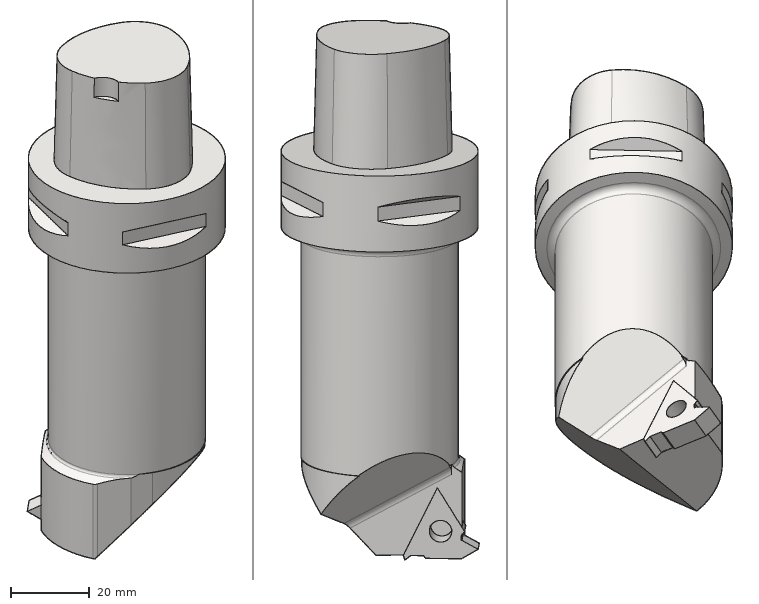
import cadquery as cq
import math


shank_height = 30.0
shank_mean_radius = 35.1 / 2
shank_taper = 0.025
lobe_height = 1.02
lobe_half_angle = 28
key_radius = 4.5
key_depth = 5.4
key_floor_y = -14.2

flange_radius = 50.0 / 2
flange_height = 20.0
slot_count = 4
slot_floor_distance = 22.1
slot_floor_width = 3.7
slot_wall_angle = 30
slot_z = -flange_height / 2

neck_radius = 40.0 / 2
neck_end_z = -80.3
underside_drop = 0.5
underside_fillet = 2.0

head_radius = 22.5
back_radius = 19.8
collar_fillet_drop = 0.8
collar_fillet_width = 0.4
collar_height = 2.3
seat_angle = 15
seat_corner = (-22.2, 0.8)
blend_start_x = -1.2
blend_end = (0, -22.2)
front_flat_end = (7.7, -18.9)
outer_flat_end_x = 12.3
end_z = -104.5
end_slope_x = -0.03
end_slope_y = -0.02
back_angle = 48
back_axis_z = -103.2
flute_angle = 51
flute_direction = 132
flute_axis_z = -99.3
flute_fillet = 2.7

insert_thickness = 6.1
insert_hole_diameter = 5.7
insert_hole_center = (5.4, -97.9)
overall_length = 135.6
overall_width = 51.3
tip_z = -102.5
insert_root_z = -104.5
land_z = -105.1

overlap = 1.4
block_size = 542.5

seat_cos = math.cos(math.radians(seat_angle))
seat_sin = math.sin(math.radians(seat_angle))
seat_plane = cq.Plane(
    origin=(*seat_corner, 0), xDir=(seat_cos, seat_sin, 0), normal=(seat_sin, -seat_cos, 0)
)

insert_outline = [
    (6.2, -86.5),
    (0.1, -96.6),
    (-0.7, -97.9),
    (0.3, -99.2),
    (0.3, -100.1),
    ((flange_radius - overall_width - seat_corner[0]) / seat_cos, tip_z),
    (0.1, land_z),
    (9.2, land_z),
    (9.8, insert_root_z),
    (13.0, insert_root_z),
    (14.5, shank_height - overall_length),
    (14.9, insert_root_z),
]


def half_space(origin, normal):
    """Large block on the side of a plane that the normal points to."""
    face = cq.Plane(origin=origin, normal=normal)
    return cq.Workplane(face).rect(block_size, block_size).extrude(block_size)


def circle_y(radius, x):
    """Y on the -Y half of a circle about the tool axis."""
    return -math.sqrt(radius**2 - x**2)


def lobed_section(z):
    """Closed outline of three lobe arcs and three flank arcs, one lobe toward +Y."""
    radius = shank_mean_radius - shank_taper * z

    def point(degrees):
        angle = math.radians(degrees)
        return (
            lobe_height * math.sin(2 * angle) - radius * math.sin(angle),
            radius * math.cos(angle) + lobe_height * math.cos(2 * angle),
        )

    outline = cq.Workplane("XY", origin=(0, 0, z)).moveTo(*point(-lobe_half_angle))
    for lobe in (0, 120, 240):
        outline = outline.threePointArc(point(lobe), point(lobe + lobe_half_angle))
        outline = outline.threePointArc(point(lobe + 60), point(lobe + 120 - lobe_half_angle))
    return outline.close().val()


def make_shank():
    """Lofted shank with a round key notch at its top edge."""
    shank = cq.Workplane(cq.Solid.makeLoft([lobed_section(0), lobed_section(shank_height)]))
    notch = (
        cq.Workplane("XY", origin=(0, key_floor_y - key_radius, shank_height - key_depth))
        .circle(key_radius)
        .extrude(key_depth)
    )
    return shank.cut(notch)


def make_flange_and_neck():
    """Turned profile from the flange's upper face to the end of the neck."""
    underside_z = -flange_height - underside_drop
    arc_mid = underside_fillet * (1 - math.sqrt(0.5))
    return (
        cq.Workplane("XZ")
        .lineTo(flange_radius, 0)
        .lineTo(flange_radius, -flange_height)
        .lineTo(neck_radius + underside_fillet, underside_z)
        .threePointArc(
            (neck_radius + arc_mid, underside_z - arc_mid),
            (neck_radius, underside_z - underside_fillet),
        )
        .lineTo(neck_radius, neck_end_z)
        .lineTo(0, neck_end_z)
        .close()
        .revolve(360, (0, 0, 0), (0, 1, 0))
    )


def make_gripper_slots():
    """Cutters for flat-floored slots with flared walls, spaced evenly around the flange."""
    slot_depth = flange_radius - slot_floor_distance + overlap
    half_floor = slot_floor_width / 2
    half_mouth = half_floor + slot_depth * math.tan(math.radians(slot_wall_angle))
    mouth_distance = slot_floor_distance + slot_depth
    slot = (
        cq.Workplane("XZ", origin=(0, 0, slot_z))
        .polyline([
            (slot_floor_distance, -half_floor),
            (mouth_distance, -half_mouth),
            (mouth_distance, half_mouth),
            (slot_floor_distance, half_floor),
        ])
        .close()
        .extrude(flange_radius, both=True)
    )
    pitch = 360 / slot_count
    slots = cq.Workplane("XY")
    for index in range(slot_count):
        slots = slots.add(slot.rotate((0, 0, 0), (0, 0, 1), pitch * (index + 0.5)))
    return slots.combine()


def make_head_envelope():
    """Turned shape of the head: a concave blend, a cone, then the full head radius."""
    return (
        cq.Workplane("XZ")
        .moveTo(0, neck_end_z + overlap)
        .lineTo(neck_radius, neck_end_z + overlap)
        .lineTo(neck_radius, neck_end_z)
        .tangentArcPoint(
            (neck_radius + collar_fillet_width, neck_end_z - collar_fillet_drop), relative=False
        )
        .lineTo(head_radius, neck_end_z - collar_height)
        .lineTo(head_radius, end_z - overlap)
        .lineTo(0, end_z - overlap)
        .close()
        .revolve(360, (0, 0, 0), (0, 1, 0))
    )


def meet_circle(start, direction, radius, farther):
    """Point where a line from start, along a unit direction, meets a circle about the tool axis."""
    to_nearest = -(start[0] * direction[0] + start[1] * direction[1])
    half_chord = math.sqrt(to_nearest**2 + radius**2 - start[0]**2 - start[1]**2)
    travel = to_nearest + half_chord if farther else to_nearest - half_chord
    return (start[0] + travel * direction[0], start[1] + travel * direction[1])


def make_head_prism():
    """Cross-section of the head, taken from the neck end down past the end face."""
    side_flat_end = meet_circle(seat_corner, (seat_sin, -seat_cos), head_radius, farther=True)
    seat_at_back = meet_circle(seat_corner, (seat_cos, seat_sin), back_radius, farther=False)
    head_arc_mid = (-head_radius * math.sqrt(0.5), -head_radius * math.sqrt(0.5))
    return (
        cq.Workplane("XY", origin=(0, 0, end_z - overlap))
        .moveTo(*seat_corner)
        .lineTo(*side_flat_end)
        .threePointArc(head_arc_mid, (blend_start_x, circle_y(head_radius, blend_start_x)))
        .tangentArcPoint(blend_end, relative=False)
        .lineTo(*front_flat_end)
        .lineTo(outer_flat_end_x, circle_y(back_radius, outer_flat_end_x))
        .threePointArc((0, back_radius), seat_at_back)
        .close()
        .extrude(neck_end_z - end_z + overlap)
    )


def make_flute():
    """Space in front of the seat wall and under the sloping flute roof."""
    steepness = math.radians(flute_angle)
    heading = math.radians(flute_direction)
    roof_normal = (
        math.sin(steepness) * math.cos(heading),
        math.sin(steepness) * math.sin(heading),
        -math.cos(steepness),
    )
    under_roof = half_space((0, 0, flute_axis_z), roof_normal)
    before_seat = half_space((*seat_corner, 0), (-seat_sin, seat_cos, 0))
    flute = under_roof.intersect(before_seat)
    roof_rise = roof_normal[0] * seat_corner[0] + roof_normal[1] * seat_corner[1]
    corner_z = flute_axis_z + roof_rise / math.cos(steepness)
    inner_edge = cq.selectors.NearestToPointSelector((*seat_corner, corner_z))
    return flute.edges(inner_edge).fillet(flute_fillet)


def make_insert_blank():
    """Triangular insert without its hole."""
    return cq.Workplane(seat_plane).polyline(insert_outline).close().extrude(insert_thickness)


def make_holder():
    back_tilt = math.radians(back_angle)
    holder = make_flange_and_neck().cut(make_gripper_slots()).union(make_shank())
    holder = holder.union(make_head_envelope().intersect(make_head_prism()))
    holder = holder.cut(make_flute())
    holder = holder.cut(half_space((0, 0, back_axis_z), (math.sin(back_tilt), 0, -math.cos(back_tilt))))
    holder = holder.cut(half_space((0, 0, end_z), (end_slope_x, end_slope_y, -1)))
    return holder.cut(make_insert_blank())


def make_insert():
    hole = (
        cq.Workplane(seat_plane)
        .center(*insert_hole_center)
        .circle(insert_hole_diameter / 2)
        .extrude(insert_thickness)
    )
    return make_insert_blank().cut(hole)


holder = make_holder()
cutting_insert = make_insert()
result = cq.Compound.makeCompound([holder.val(), cutting_insert.val()])